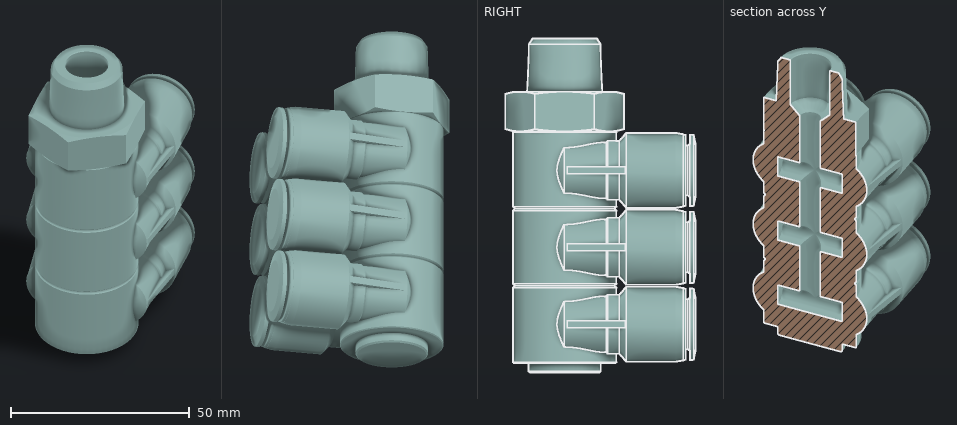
import cadquery as cq
import math

section_count = 3
section_pitch = 21.6
section_diameter = 29.0
joint_chamfer = 0.6
end_chamfer = 0.3
plug_diameter = 20.3
plug_height = 2.7
plug_chamfer = 0.5
stack_top = plug_height + section_count * section_pitch

hex_across_flats = 28.8
hex_height = 11.0
hex_chamfer_angle = 15.0
hex_top = stack_top + hex_height

total_height = 93.5
thread_root_diameter = 21.1
thread_tip_diameter = 20.1
thread_chamfer_height = 1.7
spigot_face_diameter = 17.95

bore_diameter = 12.2
bore_mouth_diameter = 12.6
bore_cone_top = hex_top
channel_diameter = 6.3
bore_cone_angle = 45.0

branch_pitch = 21.5
lowest_branch_height = 13.6
total_width = 40.95
branch_diameter = 21.0
branch_offset = (total_width - branch_diameter) / 2
branch_lip_diameter = 20.3
shoulder_diameter = 16.55
arm_diameter = 15.6
collet_diameter = 20.0
collet_neck_diameter = 14.0
collet_face_diameter = 14.4
collet_edge_chamfer = 0.4
collet_edge_taper = 0.1
collet_crown_height = 0.6
neck_flare_width = 0.4
neck_flare_length = 0.6
arm_tip_angle = 30.0
arm_start = -0.2
arm_end = 11.6
shoulder_start = 12.1
shoulder_end = 15.2
branch_start = 17.2
branch_lip_start = 31.0
branch_end = 33.1
collet_ring_end = 33.85
collet_neck_end = 35.0
collet_end = 36.65

web_thickness = 2.0
web_start = 0.7
web_end_radius = 10.3


def turned(profile):
    """Solid of revolution about Z from (radius, height) points, closed along the axis."""
    return cq.Workplane("XZ").polyline(profile).close().revolve(360, (0, 0, 0), (0, 1, 0))


def section_base(index):
    return plug_height + index * section_pitch


def branch_height(index):
    return lowest_branch_height + index * branch_pitch


def section(index):
    """Body section; its chamfer is smaller at the two ends of the stack than at the joints."""
    bottom_chamfer = end_chamfer if index == 0 else joint_chamfer
    top_chamfer = end_chamfer if index == section_count - 1 else joint_chamfer
    return (
        cq.Workplane("XY", origin=(0, 0, section_base(index)))
        .circle(section_diameter / 2)
        .extrude(section_pitch)
        .faces("<Z").edges().chamfer(bottom_chamfer)
        .faces(">Z").edges().chamfer(top_chamfer)
    )


def bottom_plug():
    return (
        cq.Workplane("XY")
        .circle(plug_diameter / 2)
        .extrude(plug_height + end_chamfer)
        .faces("<Z")
        .edges()
        .chamfer(plug_chamfer)
    )


def hexagon():
    corner_radius = hex_across_flats / math.sqrt(3)
    flat_radius = hex_across_flats / 2
    drop = (corner_radius - flat_radius) * math.tan(math.radians(hex_chamfer_angle))
    prism = (
        cq.Workplane("XY", origin=(0, 0, stack_top))
        .polygon(6, 2 * corner_radius)
        .extrude(hex_height)
        .rotate((0, 0, 0), (0, 0, 1), 30)
    )
    envelope = turned([
        (0, stack_top),
        (flat_radius, stack_top),
        (corner_radius, stack_top + drop),
        (corner_radius, hex_top - drop),
        (flat_radius, hex_top),
        (0, hex_top),
    ])
    return prism.intersect(envelope)


def thread_spigot():
    return turned([
        (0, hex_top),
        (thread_root_diameter / 2, hex_top),
        (thread_tip_diameter / 2, total_height - thread_chamfer_height),
        (spigot_face_diameter / 2, total_height),
        (0, total_height),
    ])


def bore():
    """Stepped bore down to the lowest cross channel."""
    bore_radius = bore_diameter / 2
    mouth_radius = bore_mouth_diameter / 2
    channel_radius = channel_diameter / 2
    cone_height = (bore_radius - channel_radius) / math.tan(math.radians(bore_cone_angle))
    return turned([
        (0, branch_height(0)),
        (channel_radius, branch_height(0)),
        (channel_radius, bore_cone_top - cone_height),
        (bore_radius, bore_cone_top),
        (bore_radius, total_height - (mouth_radius - bore_radius)),
        (mouth_radius, total_height),
        (0, total_height),
    ])


def cross_channel(height):
    """Round channel along X joining the axes of a pair of branches."""
    return (
        cq.Workplane("YZ", origin=(0, 0, height))
        .circle(channel_diameter / 2)
        .extrude(branch_offset, both=True)
    )


def branch():
    """One branch about Z, pointing up, before it is laid along Y."""
    arm_radius = arm_diameter / 2
    collet_radius = collet_diameter / 2
    collet_edge_radius = collet_radius - collet_edge_taper
    neck_radius = collet_neck_diameter / 2
    crown_base = collet_end - collet_crown_height
    tip_depth = arm_radius * math.tan(math.radians(arm_tip_angle))
    return turned([
        (0, arm_start - tip_depth),
        (arm_radius, arm_start),
        (arm_radius, arm_end),
        (shoulder_diameter / 2, shoulder_start),
        (shoulder_diameter / 2, shoulder_end),
        (branch_diameter / 2, branch_start),
        (branch_diameter / 2, branch_lip_start),
        (branch_lip_diameter / 2, branch_end),
        (collet_radius, branch_end),
        (collet_radius, collet_ring_end - collet_edge_chamfer),
        (collet_edge_radius, collet_ring_end),
        (neck_radius, collet_ring_end),
        (neck_radius, collet_neck_end - neck_flare_length),
        (neck_radius + neck_flare_width, collet_neck_end),
        (collet_radius, collet_neck_end),
        (collet_radius, crown_base - collet_edge_chamfer),
        (collet_edge_radius, crown_base),
        (collet_face_diameter / 2, collet_end),
        (0, collet_end),
    ])


def web():
    """Triangular web on the +X side of the upright branch."""
    return (
        cq.Workplane("XZ")
        .polyline([
            (0, web_start),
            (arm_diameter / 2, web_start),
            (web_end_radius, branch_start),
            (0, branch_start),
        ])
        .close()
        .extrude(web_thickness / 2, both=True)
    )


def branch_pair(height):
    right = (
        branch()
        .union(web())
        .rotate((0, 0, 0), (1, 0, 0), -90)
        .translate((branch_offset, 0, height))
    )
    return right.union(right.mirror("YZ"))


result = bottom_plug().union(hexagon()).union(thread_spigot())
for index in range(section_count):
    result = result.union(section(index))
    result = result.union(branch_pair(branch_height(index)))

result = result.cut(bore())
for index in range(section_count):
    result = result.cut(cross_channel(branch_height(index)))